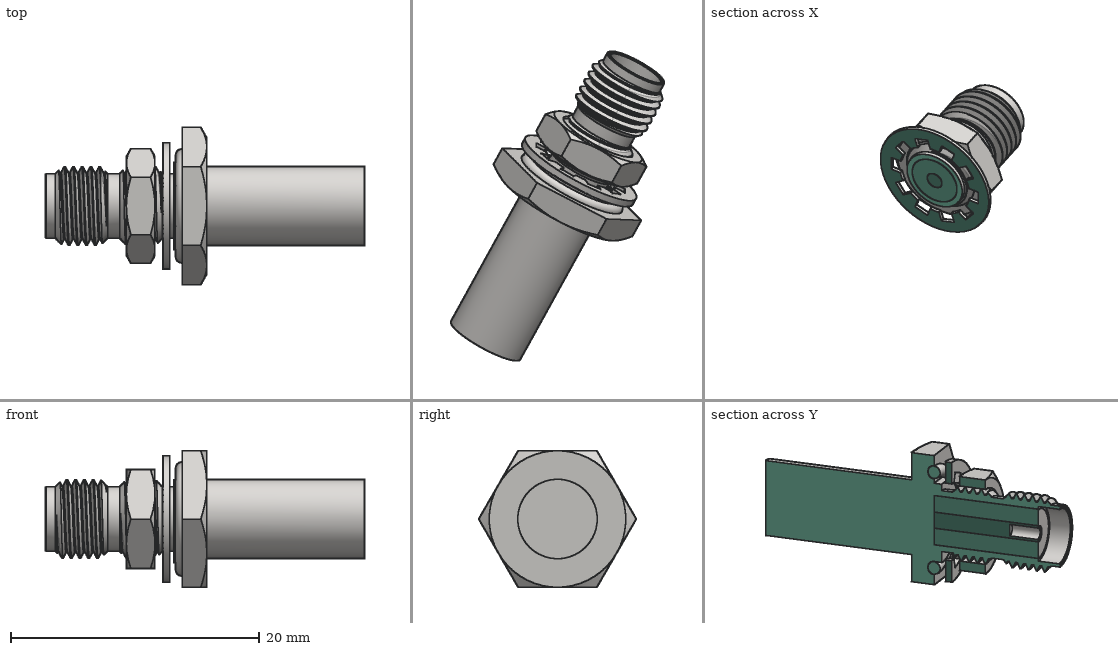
import cadquery as cq
import math


TOTAL_LENGTH = 25.7
CORE_RADIUS = 2.61
FACE_CHAMFER = 0.07
BORE_RADIUS = 2.3
BORE_DEPTH = 1.9
BORE_CHAMFER = 0.1
BARREL_RADIUS = 3.2

THREAD_RADIUS = 3.175
THREAD_PITCH = 25.4 / 36
THREAD_ROOT_RADIUS = 2.7
THREAD_CREST_FLAT = 0.09
THREAD_ROOT_FLAT = 0.12
THREADS = [(0.8, 5.0, 0.314), (5.97, 9.42, 0.55)]
GROOVE_OVERSHOOT = 0.05

FLANGE_START = 11.0
FLANGE_THICKNESS = 2.0
FLANGE_ACROSS_FLATS = 11.0
FLANGE_CHAMFER_RADIUS = 5.5

NUT_START = 6.52
NUT_THICKNESS = 2.3
NUT_ACROSS_FLATS = 8.0
NUT_CHAMFER_RADIUS = 4.0

HEX_CHAMFER_ANGLE = 30

WASHER_START = 9.46
WASHER_THICKNESS = 0.57
WASHER_OUTER_RADIUS = 5.1
WASHER_INNER_RADIUS = 3.25
WASHER_SLOTS = 10
WASHER_SLOT_WIDTH = 1.2
WASHER_SLOT_END_RADIUS = 4.05

SEAL_SECTION_RADIUS = 0.53
SEAL_OUTER_RADIUS = 4.6

SHOULDER_START = 10.33
SHOULDER_RADIUS = SEAL_OUTER_RADIUS - 2 * SEAL_SECTION_RADIUS
SHOULDER_FLAT_HEIGHT = 3.15

DIELECTRIC_RADIUS = 2.07
DIELECTRIC_LENGTH = FLANGE_START - BORE_DEPTH
CONTACT_RADIUS = 0.66
SOCKET_RADIUS = 0.47
SOCKET_DEPTH = 2.5
SOCKET_CHAMFER = 0.07


def section_at(x):
    """Workplane across the axis at x, facing +X."""
    return cq.Workplane("YZ", origin=(x, 0, 0))


def rod(start, end, radius):
    return section_at(start).circle(radius).extrude(end - start)


def hex_prism(start, thickness, across_flats, chamfer_radius, chamfer_front):
    """Hexagon with corners on Y, its corners coned off at the rear and, if asked, at the front."""
    corner_radius = across_flats / math.sqrt(3)
    cone_length = (corner_radius - chamfer_radius) * math.tan(math.radians(HEX_CHAMFER_ANGLE))
    end = start + thickness
    front_radius = chamfer_radius if chamfer_front else corner_radius
    envelope = (
        cq.Workplane("XY")
        .moveTo(start, 0)
        .lineTo(start, front_radius)
        .lineTo(start + cone_length, corner_radius)
        .lineTo(end - cone_length, corner_radius)
        .lineTo(end, chamfer_radius)
        .lineTo(end, 0)
        .close()
        .revolve(360, (0, 0, 0), (1, 0, 0))
    )
    prism = section_at(start).polygon(6, 2 * corner_radius).extrude(thickness)
    return prism.intersect(envelope)


def thread_blank(start, end):
    """Cylinder at the crest radius with 45 degree ends that come down to the core."""
    slope = THREAD_RADIUS - CORE_RADIUS
    return (
        cq.Workplane("XY")
        .moveTo(start, 0)
        .lineTo(start, CORE_RADIUS)
        .lineTo(start + slope, THREAD_RADIUS)
        .lineTo(end - slope, THREAD_RADIUS)
        .lineTo(end, CORE_RADIUS)
        .lineTo(end, 0)
        .close()
        .revolve(360, (0, 0, 0), (1, 0, 0))
    )


def groove_turn():
    """One turn of the helical V groove, made along Z and then turned onto the X axis."""
    helix = cq.Workplane(cq.Wire.makeHelix(THREAD_PITCH, THREAD_PITCH, THREAD_ROOT_RADIUS))
    half_root = THREAD_ROOT_FLAT / 2
    half_crest = (THREAD_PITCH - THREAD_CREST_FLAT) / 2
    flank_slope = (half_crest - half_root) / (THREAD_RADIUS - THREAD_ROOT_RADIUS)
    outer_radius = THREAD_RADIUS + GROOVE_OVERSHOOT
    half_outer = half_crest + GROOVE_OVERSHOOT * flank_slope
    groove = (
        cq.Workplane("XZ")
        .moveTo(THREAD_ROOT_RADIUS, -half_root)
        .lineTo(outer_radius, -half_outer)
        .lineTo(outer_radius, half_outer)
        .lineTo(THREAD_ROOT_RADIUS, half_root)
        .close()
        .sweep(helix, isFrenet=True)
    )
    return groove.rotate((0, 0, 0), (0, 1, 0), 90)


def thread(start, end, phase):
    """Threaded length, cut turn by turn; its groove lies on the -Z side at x = phase."""
    first_turn = math.floor((start - phase) / THREAD_PITCH) - 1
    last_turn = math.ceil((end - phase) / THREAD_PITCH)
    turn = groove_turn()
    threaded = thread_blank(start, end)
    for number in range(first_turn, last_turn + 1):
        threaded = threaded.cut(turn.translate((phase + number * THREAD_PITCH, 0, 0)))
    return threaded


def make_seal():
    center_radius = SEAL_OUTER_RADIUS - SEAL_SECTION_RADIUS
    return (
        cq.Workplane("XY")
        .center(FLANGE_START, center_radius)
        .circle(SEAL_SECTION_RADIUS)
        .revolve(360, (0, -center_radius, 0), (1, -center_radius, 0))
    )


def make_shoulder():
    width = 2 * SHOULDER_RADIUS
    length = FLANGE_START - SHOULDER_START
    below_flat = (
        section_at(SHOULDER_START)
        .center(0, SHOULDER_FLAT_HEIGHT - width / 2)
        .rect(width, width)
        .extrude(length)
    )
    return rod(SHOULDER_START, FLANGE_START, SHOULDER_RADIUS).intersect(below_flat)


def make_shell(seal):
    shell = rod(0, SHOULDER_START, CORE_RADIUS).faces("<X").chamfer(FACE_CHAMFER)
    for start, end, phase in THREADS:
        shell = shell.union(thread(start, end, phase))
    shell = shell.union(make_shoulder())
    flange = hex_prism(
        FLANGE_START, FLANGE_THICKNESS, FLANGE_ACROSS_FLATS, FLANGE_CHAMFER_RADIUS, chamfer_front=False
    )
    shell = shell.union(flange.cut(seal))
    shell = shell.union(rod(FLANGE_START + FLANGE_THICKNESS, TOTAL_LENGTH, BARREL_RADIUS))
    bore_mouth = section_at(0).circle(BORE_RADIUS + BORE_CHAMFER).extrude(BORE_CHAMFER, taper=45)
    shell = shell.cut(rod(0, BORE_DEPTH, BORE_RADIUS)).cut(bore_mouth)
    return shell.cut(rod(BORE_DEPTH, BORE_DEPTH + DIELECTRIC_LENGTH, DIELECTRIC_RADIUS))


def make_nut():
    nut = hex_prism(NUT_START, NUT_THICKNESS, NUT_ACROSS_FLATS, NUT_CHAMFER_RADIUS, chamfer_front=True)
    return nut.cut(rod(NUT_START, NUT_START + NUT_THICKNESS, THREAD_RADIUS))


def make_washer():
    washer = (
        section_at(WASHER_START)
        .circle(WASHER_OUTER_RADIUS)
        .circle(WASHER_INNER_RADIUS)
        .extrude(WASHER_THICKNESS)
    )
    slots = (
        section_at(WASHER_START)
        .polarArray(WASHER_SLOT_END_RADIUS / 2, 0, 360, WASHER_SLOTS)
        .rect(WASHER_SLOT_END_RADIUS, WASHER_SLOT_WIDTH)
        .extrude(WASHER_THICKNESS)
    )
    return washer.cut(slots)


def make_dielectric():
    end = BORE_DEPTH + DIELECTRIC_LENGTH
    return rod(BORE_DEPTH, end, DIELECTRIC_RADIUS).cut(rod(BORE_DEPTH, end, CONTACT_RADIUS))


def make_contact():
    contact = rod(BORE_DEPTH, BORE_DEPTH + DIELECTRIC_LENGTH, CONTACT_RADIUS)
    contact = contact.cut(rod(BORE_DEPTH, BORE_DEPTH + SOCKET_DEPTH, SOCKET_RADIUS))
    mouth = section_at(BORE_DEPTH).circle(SOCKET_RADIUS + SOCKET_CHAMFER)
    return contact.cut(mouth.extrude(SOCKET_CHAMFER, taper=45))


seal_ring = make_seal()
shell = make_shell(seal_ring)
nut = make_nut()
lock_washer = make_washer()
dielectric = make_dielectric()
contact = make_contact()

bodies = [shell, nut, lock_washer, seal_ring, dielectric, contact]
result = cq.Compound.makeCompound([body.solids().val() for body in bodies])